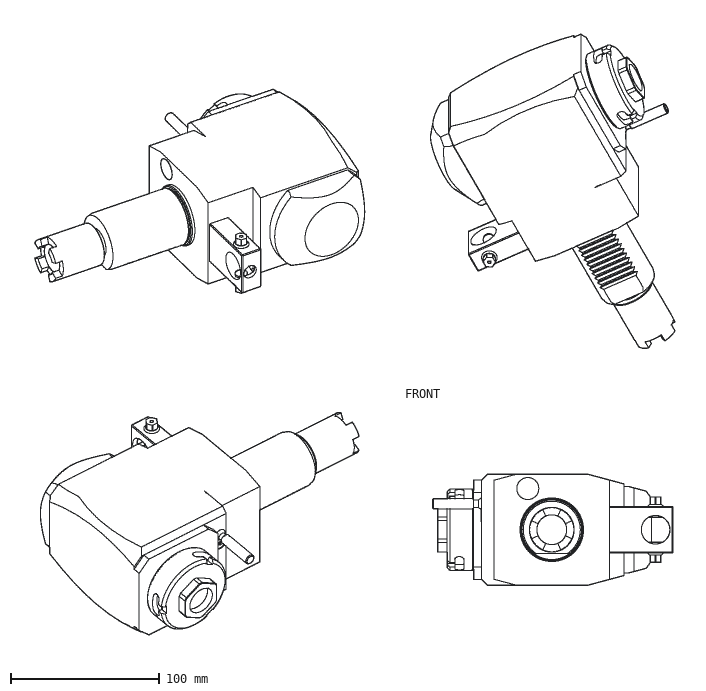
import cadquery as cq
import math


HEIGHT = 75.0
HALF_HEIGHT = HEIGHT / 2
BACK_Y = 114.0
UPPER_START_Y = 35.2
UPPER_LEFT_X = -47.3
UPPER_RIGHT_X = 48.8
LOWER_HALF_WIDTH = 39.0
SIDE_TAPER = math.tan(math.radians(15))
LEFT_TAPER_X = -23.6
RIGHT_TAPER_X = 24.3
LEFT_CHAMFER = 4.0
BACK_CORNER_CHAMFER = 3.3
BACK_CONE_X = -7.9
BACK_CONE_Y = -17.3
BACK_CONE_EDGE_RADIUS = 127.2
FRONT_PLUG_X = -16.2
FRONT_PLUG_Z = 27.8
FRONT_PLUG_RADIUS = 7.5
FRONT_PLUG_RECESS = 0.2

SPINDLE_Y = 80.0
FLANGE_LEFT_X = -52.7
FLANGE_FRONT_Y = 46.5
FLANGE_HALF_HEIGHT = HALF_HEIGHT - LEFT_CHAMFER
FLANGE_CHAMFER = 8.3
NUT_LEFT_X = -70.7
NUT_RADIUS = 27.5
NUT_CHAMFER = 2.0
NUT_NECK_RADIUS = 26.7
NUT_NECK_WIDTH = 0.9
NUT_NOTCH_FLOOR_RADIUS = 24.5
NUT_SLOT_FLOOR_RADIUS = 23.9
NUT_NOTCH_WIDTH = 6.0
NUT_SLOT_COUNT = 3
NUT_SLOT_X = -62.4
NUT_SLOT_WIDTH = 6.1
NUT_SLOT_LENGTH = 18.0
HEX_LEFT_X = -77.3
HEX_ACROSS_FLATS = 27.4
HEX_CORNER_RADIUS = 15.0
HEX_CHAMFER = 0.5
HEX_BORE_RADIUS = 9.6
HEX_BORE_DEPTH = 5.3

COVER_RADIUS = 37.6
COVER_RIM_END_X = 55.4
COVER_RIGHT_X = 67.5
COVER_FACE_RADIUS = 21.0
COVER_BACK_Y = 109.9
COVER_HALF_HEIGHT = 29.3
COVER_TAPER_X = 51.6

PIN_Y = 40.5
PIN_Z = 17.5
PIN_LEFT_X = -80.5
PIN_NECK_LEFT_X = -53.0
PIN_FLARE_LEFT_X = -49.5
PIN_RADIUS = 3.5
PIN_TIP_CHAMFER = 0.7
PIN_NECK_RADIUS = 2.6
PIN_FLARE_RADIUS = 4.2
SIDE_PLUG_Z = 10.3
SIDE_PLUG_RADIUS = 4.5
SIDE_PLUG_HEIGHT = 0.5
SIDE_PLUG_HOLE_RADIUS = 1.5
SIDE_PLUG_HOLE_DEPTH = 1.0

COLLAR_RADIUS = 21.5
COLLAR_END_Y = -2.6
COLLAR_CHAMFER = 0.7
UNDERCUT_RADIUS = 19.5
UNDERCUT_END_Y = -4.0
SHANK_RADIUS = 20.1
SHANK_TAPER_Y = -60.0
SHANK_END_Y = -63.0
SHANK_END_RADIUS = 19.3
NECK_RADIUS = 10.0
COUPLING_START_Y = -67.0
COUPLING_RADIUS = 15.0
COUPLING_CHAMFER = 0.5
COUPLING_RECESS_RADIUS = 10.0
COUPLING_GAP_FLOOR_Y = -99.5
COUPLING_RECESS_FLOOR_Y = -99.4
COUPLING_END_Y = -104.8
COUPLING_GAPS = 4
COUPLING_GAP_HALF_ANGLE = 24
FLAT_Z = -16.0
FLAT_START_Y = -9.6
TOOTH_COUNT = 10
TOOTH_ROW_LENGTH = 36.1
TOOTH_PITCH = TOOTH_ROW_LENGTH / (TOOTH_COUNT - 1)
TOOTH_FIRST_Y = -11.5
TOOTH_DEPTH = 1.5
TOOTH_HALF_WIDTH = 1.5

ARM_RIGHT_X = 81.8
ARM_FRONT_Y = 1.0
ARM_BACK_Y = 16.2
ARM_HALF_HEIGHT = 15.8
ARM_CHAMFER = 0.7
ARM_BORE_X = 70.0
ARM_BORE_RADIUS = 9.6
SIDE_HOLE_RADIUS = 4.8
SCREW_Y = 7.5
SCREW_COLLAR_RADIUS = 5.3
SCREW_COLLAR_TOP_RADIUS = 4.2
SCREW_COLLAR_HEIGHT = 1.3
SCREW_ACROSS_FLATS = 7.5
SCREW_CORNER_RADIUS = 4.2
SCREW_TOP_Z = 22.0
SCREW_HOLE_RADIUS = 1.0
SCREW_HOLE_DEPTH = 2.2
SCREW_TIP_RADIUS = 4.2
SCREW_TIP_Z = 8.3


def box(x_range, y_range, z_range):
    """Box between the given limits along each axis."""
    (x0, x1), (y0, y1), (z0, z1) = x_range, y_range, z_range
    return cq.Workplane("XY").box(x1 - x0, y1 - y0, z1 - z0, centered=False).translate((x0, y0, z0))


def disc_x(x0, x1, radius, y, z=0):
    """Cylinder along X."""
    return cq.Workplane("YZ", origin=(x0, y, z)).circle(radius).extrude(x1 - x0)


def turned_x(profile, y, z=0):
    """Solid turned about a line along X; the profile lists (x, radius)."""
    points = [(profile[0][0], 0), *profile, (profile[-1][0], 0)]
    solid = cq.Workplane("XY").polyline(points).close().revolve(360, (0, 0, 0), (1, 0, 0))
    return solid.translate((0, y, z))


def hex_prism(plane, across_flats, length):
    """Hexagonal prism from the origin along the plane's normal, a corner on the plane's y axis."""
    corner_diameter = across_flats / math.cos(math.pi / 6)
    prism = cq.Workplane(plane).transformed(rotate=(0, 0, 30)).polygon(6, corner_diameter)
    return prism.extrude(length)


def mirrored_outline(top):
    """XZ outline from its upper half, mirrored about Z = 0."""
    return [*top, *[(x, -z) for x, z in reversed(top)]]


def taper_drop(x):
    """Height lost at x on the tapered right side of the housing."""
    return SIDE_TAPER * (x - RIGHT_TAPER_X)


def prism_y(outline, y0, y1):
    """XZ outline extruded along Y."""
    return cq.Workplane("XZ", origin=(0, y0, 0)).polyline(outline).close().extrude(y0 - y1)


def housing():
    upper_top = [
        (UPPER_LEFT_X, HALF_HEIGHT - LEFT_CHAMFER),
        (UPPER_LEFT_X + LEFT_CHAMFER, HALF_HEIGHT),
        (RIGHT_TAPER_X, HALF_HEIGHT),
        (UPPER_RIGHT_X, HALF_HEIGHT - taper_drop(UPPER_RIGHT_X)),
    ]
    upper = prism_y(mirrored_outline(upper_top), UPPER_START_Y, BACK_Y)
    upper = upper.edges(cq.selectors.NearestToPointSelector((UPPER_RIGHT_X, BACK_Y, 0)))
    upper = upper.chamfer(BACK_CORNER_CHAMFER)

    middle_radius = BACK_CONE_EDGE_RADIUS + HALF_HEIGHT
    cone_half = [
        (0, -HALF_HEIGHT),
        (BACK_CONE_EDGE_RADIUS, -HALF_HEIGHT),
        (middle_radius, 0),
        (BACK_CONE_EDGE_RADIUS, HALF_HEIGHT),
        (0, HALF_HEIGHT),
    ]
    cones = cq.Workplane("XZ").polyline(cone_half).close().revolve(360, (0, 0, 0), (0, 1, 0))
    upper = upper.intersect(cones.translate((BACK_CONE_X, BACK_CONE_Y, 0)))

    left_drop = SIDE_TAPER * (LEFT_TAPER_X + LOWER_HALF_WIDTH)
    lower_top = [
        (-LOWER_HALF_WIDTH, HALF_HEIGHT - left_drop),
        (LEFT_TAPER_X, HALF_HEIGHT),
        (RIGHT_TAPER_X, HALF_HEIGHT),
        (LOWER_HALF_WIDTH, HALF_HEIGHT - taper_drop(LOWER_HALF_WIDTH)),
    ]
    lower = prism_y(mirrored_outline(lower_top), 0, UPPER_START_Y)
    plug_plane = cq.Workplane("XZ", origin=(FRONT_PLUG_X, 0, FRONT_PLUG_Z))
    plug_recess = plug_plane.circle(FRONT_PLUG_RADIUS).extrude(-FRONT_PLUG_RECESS)
    return upper.union(lower).cut(plug_recess)


def flange():
    plate = box(
        (FLANGE_LEFT_X, UPPER_LEFT_X),
        (FLANGE_FRONT_Y, BACK_Y),
        (-FLANGE_HALF_HEIGHT, FLANGE_HALF_HEIGHT),
    )
    return plate.edges("|X").chamfer(FLANGE_CHAMFER)


def clamping_nut():
    profile = [
        (NUT_LEFT_X, NUT_RADIUS - NUT_CHAMFER),
        (NUT_LEFT_X + NUT_CHAMFER, NUT_RADIUS),
        (FLANGE_LEFT_X - NUT_NECK_WIDTH, NUT_RADIUS),
        (FLANGE_LEFT_X - NUT_NECK_WIDTH, NUT_NECK_RADIUS),
        (FLANGE_LEFT_X, NUT_NECK_RADIUS),
    ]
    nut = turned_x(profile, SPINDLE_Y)

    slot = (
        cq.Workplane("XZ", origin=(NUT_SLOT_X, 0, 0))
        .slot2D(NUT_SLOT_LENGTH, NUT_SLOT_WIDTH, 90)
        .extrude(-NUT_RADIUS)
        .cut(disc_x(NUT_LEFT_X, FLANGE_LEFT_X, NUT_SLOT_FLOOR_RADIUS, 0))
    )
    notch = box(
        (NUT_LEFT_X, NUT_SLOT_X),
        (NUT_NOTCH_FLOOR_RADIUS, NUT_RADIUS),
        (-NUT_NOTCH_WIDTH / 2, NUT_NOTCH_WIDTH / 2),
    )
    wrench_slot = slot.union(notch)
    for index in range(NUT_SLOT_COUNT):
        turned_slot = wrench_slot.rotate((0, 0, 0), (1, 0, 0), index * 360 / NUT_SLOT_COUNT)
        nut = nut.cut(turned_slot.translate((0, SPINDLE_Y, 0)))
    return nut


def spindle_hex():
    blank = hex_prism("YZ", HEX_ACROSS_FLATS, NUT_LEFT_X - HEX_LEFT_X)
    blank = blank.translate((HEX_LEFT_X, SPINDLE_Y, 0))
    rounded = blank.intersect(disc_x(HEX_LEFT_X, NUT_LEFT_X, HEX_CORNER_RADIUS, SPINDLE_Y))
    return rounded.faces("<X").edges().chamfer(HEX_CHAMFER)


def spindle_bore():
    return disc_x(HEX_LEFT_X, HEX_LEFT_X + HEX_BORE_DEPTH, HEX_BORE_RADIUS, SPINDLE_Y)


def rear_cover():
    profile = [
        (UPPER_RIGHT_X, COVER_RADIUS),
        (COVER_RIM_END_X, COVER_RADIUS),
        (COVER_RIGHT_X, COVER_FACE_RADIUS),
    ]
    cover = turned_x(profile, SPINDLE_Y)
    right_drop = SIDE_TAPER * (COVER_RIGHT_X - COVER_TAPER_X)
    envelope_top = [
        (UPPER_RIGHT_X, COVER_HALF_HEIGHT),
        (COVER_TAPER_X, COVER_HALF_HEIGHT),
        (COVER_RIGHT_X, COVER_HALF_HEIGHT - right_drop),
    ]
    envelope = prism_y(mirrored_outline(envelope_top), SPINDLE_Y - COVER_RADIUS, COVER_BACK_Y)
    return cover.intersect(envelope)


def coolant_pin():
    profile = [
        (PIN_LEFT_X, PIN_RADIUS - PIN_TIP_CHAMFER),
        (PIN_LEFT_X + PIN_TIP_CHAMFER, PIN_RADIUS),
        (PIN_NECK_LEFT_X, PIN_RADIUS),
        (PIN_NECK_LEFT_X, PIN_NECK_RADIUS),
        (PIN_FLARE_LEFT_X, PIN_NECK_RADIUS),
        (UPPER_LEFT_X, PIN_FLARE_RADIUS),
    ]
    return turned_x(profile, PIN_Y, PIN_Z)


def side_plug():
    face_x = UPPER_LEFT_X - SIDE_PLUG_HEIGHT
    return disc_x(face_x, UPPER_LEFT_X, SIDE_PLUG_RADIUS, PIN_Y, SIDE_PLUG_Z)


def side_plug_hole():
    face_x = UPPER_LEFT_X - SIDE_PLUG_HEIGHT
    floor_x = face_x + SIDE_PLUG_HOLE_DEPTH
    return disc_x(face_x, floor_x, SIDE_PLUG_HOLE_RADIUS, PIN_Y, SIDE_PLUG_Z)


def shank():
    profile = [
        (0, 0),
        (COLLAR_RADIUS, 0),
        (COLLAR_RADIUS, COLLAR_END_Y + COLLAR_CHAMFER),
        (COLLAR_RADIUS - COLLAR_CHAMFER, COLLAR_END_Y),
        (UNDERCUT_RADIUS, COLLAR_END_Y),
        (UNDERCUT_RADIUS, UNDERCUT_END_Y),
        (SHANK_RADIUS, UNDERCUT_END_Y),
        (SHANK_RADIUS, SHANK_TAPER_Y),
        (SHANK_END_RADIUS, SHANK_END_Y),
        (NECK_RADIUS, SHANK_END_Y),
        (NECK_RADIUS, COUPLING_START_Y),
        (COUPLING_RADIUS - COUPLING_CHAMFER, COUPLING_START_Y),
        (COUPLING_RADIUS, COUPLING_START_Y - COUPLING_CHAMFER),
        (COUPLING_RADIUS, COUPLING_END_Y),
        (COUPLING_RECESS_RADIUS, COUPLING_END_Y),
        (COUPLING_RECESS_RADIUS, COUPLING_RECESS_FLOOR_Y),
        (0, COUPLING_RECESS_FLOOR_Y),
    ]
    body = cq.Workplane("XY").polyline(profile).close().revolve(360, (0, 0, 0), (0, 1, 0))

    reach = 2 * COUPLING_RADIUS
    half_spread = reach * math.tan(math.radians(COUPLING_GAP_HALF_ANGLE))
    gap_outline = [(0, 0), (-half_spread, reach), (half_spread, reach)]
    gap = prism_y(gap_outline, COUPLING_END_Y, COUPLING_GAP_FLOOR_Y)
    for index in range(COUPLING_GAPS):
        body = body.cut(gap.rotate((0, 0, 0), (0, 1, 0), index * 360 / COUPLING_GAPS))
    return body.cut(clamping_flat())


def clamping_flat():
    """Removed from the underside of the shank: a ramped flat with a row of V grooves."""
    below = FLAT_Z - SHANK_RADIUS
    outline = [
        (SHANK_END_Y, below),
        (SHANK_END_Y, FLAT_Z),
        (FLAT_START_Y, FLAT_Z),
        (FLAT_START_Y + SHANK_RADIUS, below),
    ]
    removed = cq.Workplane("YZ").polyline(outline).close().extrude(SHANK_RADIUS, both=True)
    removed = removed.intersect(
        box((-SHANK_RADIUS, SHANK_RADIUS), (SHANK_END_Y, COLLAR_END_Y), (below, 0))
    )
    for index in range(TOOTH_COUNT):
        y = TOOTH_FIRST_Y - index * TOOTH_PITCH
        groove = [
            (y - TOOTH_HALF_WIDTH, FLAT_Z),
            (y, FLAT_Z + TOOTH_DEPTH),
            (y + TOOTH_HALF_WIDTH, FLAT_Z),
        ]
        cutter = cq.Workplane("YZ").polyline(groove).close().extrude(SHANK_RADIUS, both=True)
        removed = removed.union(cutter)
    return removed


def coolant_arm():
    arm = box(
        (LOWER_HALF_WIDTH, ARM_RIGHT_X),
        (ARM_FRONT_Y, ARM_BACK_Y),
        (-ARM_HALF_HEIGHT, ARM_HALF_HEIGHT),
    )
    arm = arm.faces(">X").edges().chamfer(ARM_CHAMFER)
    arm = arm.edges("|X").chamfer(ARM_CHAMFER)
    bore = cq.Workplane("XZ", origin=(ARM_BORE_X, ARM_FRONT_Y, 0)).circle(ARM_BORE_RADIUS)
    arm = arm.cut(bore.extrude(ARM_FRONT_Y - ARM_BACK_Y))
    arm = arm.cut(disc_x(ARM_BORE_X, ARM_RIGHT_X, SIDE_HOLE_RADIUS, SCREW_Y))
    screw = arm_screw()
    return arm.union(screw).union(screw.mirror("XY"))


def arm_screw():
    """Upper screw: conical collar, hex head with a small hole, tip reaching into the bore."""
    profile = [
        (0, SCREW_TIP_Z),
        (SCREW_TIP_RADIUS, SCREW_TIP_Z),
        (SCREW_TIP_RADIUS, ARM_HALF_HEIGHT),
        (SCREW_COLLAR_RADIUS, ARM_HALF_HEIGHT),
        (SCREW_COLLAR_TOP_RADIUS, ARM_HALF_HEIGHT + SCREW_COLLAR_HEIGHT),
        (0, ARM_HALF_HEIGHT + SCREW_COLLAR_HEIGHT),
    ]
    turned = cq.Workplane("XZ").polyline(profile).close().revolve(360, (0, 0, 0), (0, 1, 0))
    head_height = SCREW_TOP_Z - ARM_HALF_HEIGHT
    rounding = cq.Workplane("XY").circle(SCREW_CORNER_RADIUS).extrude(head_height)
    head = hex_prism("XY", SCREW_ACROSS_FLATS, head_height).intersect(rounding)
    head = head.translate((0, 0, ARM_HALF_HEIGHT))
    hole = cq.Workplane("XY", origin=(0, 0, SCREW_TOP_Z)).circle(SCREW_HOLE_RADIUS)
    screw = turned.union(head).cut(hole.extrude(-SCREW_HOLE_DEPTH))
    return screw.translate((ARM_BORE_X, SCREW_Y, 0))


result = (
    housing()
    .union(flange())
    .union(clamping_nut())
    .union(spindle_hex())
    .union(rear_cover())
    .union(coolant_pin())
    .union(side_plug())
    .union(shank())
    .union(coolant_arm())
    .cut(spindle_bore())
    .cut(side_plug_hole())
)